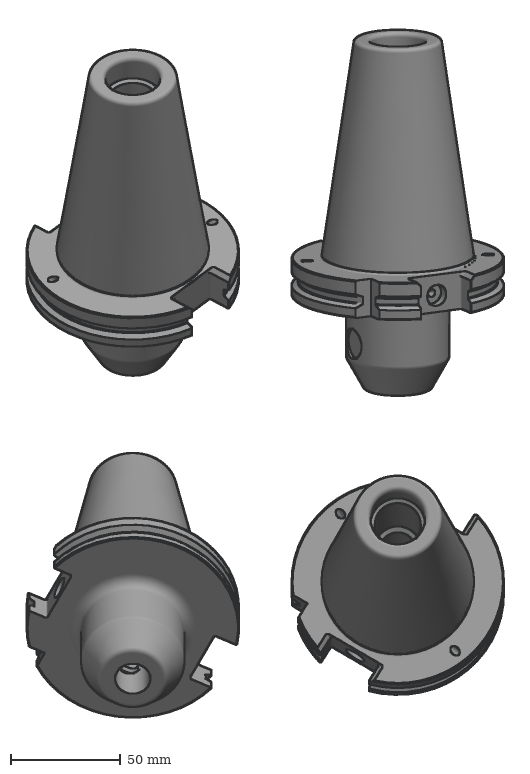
import cadquery as cq
import math


TOTAL_HEIGHT = 164.6
NOSE_RADIUS = 23.7
NOSE_TIP_RADIUS = 15.3
NOSE_CONE_HEIGHT = 15.1
NOSE_TIP_ROUND = 2.5
NOSE_SHOULDER_ROUND = 2.5
NECK_FILLET = 5.1

FLANGE_DIAMETER = 97.3
FLANGE_RADIUS = FLANGE_DIAMETER / 2
FLANGE_BOTTOM = 44.1
FLANGE_TOP = 61.7
FLANGE_EDGE_CHAMFER = 0.5
GROOVE_FLOOR_RADIUS = 45.6
GROOVE_CENTER_Z = 52.0
GROOVE_FLOOR_WIDTH = 3.3
GROOVE_FLOOR_FILLET = 0.5
GROOVE_MOUTH_WIDTH = 6.6

TAPER_LARGE_RADIUS = 34.9
TAPER_BASE_Z = 63.0
TAPER_RATIO = 7 / 24
TAPER_TIP_ROUND = 2.0
UNDERCUT_RADIUS = 34.4
UNDERCUT_FILLET = 1.27

TOOL_BORE_RADIUS = 8.0
PILOT_RADIUS = 12.5
PILOT_DEPTH = 11.5
PILOT_MOUTH_ROUND = 2.1
THREAD_RADIUS = 10.5
THREAD_BOTTOM_Z = 115.2
DRILL_TIP_HALF_ANGLE = 59.0
LEAD_IN_HALF_ANGLE = 60.0

SLOT_WIDTH = 25.7
SLOT_FLOOR_LEFT = 37.5
SLOT_FLOOR_RIGHT = 35.4
SLOT_FLOOR_FILLET = 1.0
SLOT_TOP_CHAMFER = 2.3
SLOT_MOUTH_CHAMFER = 0.5
NOTCH_CORNER = 30.1

CHIP_RADIUS = 5.0
CHIP_DEPTH = 5.0
CHIP_PILOT_RADIUS = 1.8

COOLANT_RADIUS = 1.8
COOLANT_START_RADIUS = 42.0
COOLANT_AZIMUTH = 70.0
COOLANT_SLOPE = 45.0
COOLANT_LENGTH = 19.8

SCREW_Z = 23.9
SCREW_RADIUS = 7.0
SCREW_TIP_Y = 5.8
SCREW_LENGTH = 16.0
SCREW_TIP_CHAMFER = 1.6

MATCH_TOLERANCE = 0.02


def ring(part, z, radius):
    """Select the circular edges about the Z axis at one height and radius."""
    def on_ring(edge):
        return (
            edge.geomType() == "CIRCLE"
            and abs(edge.arcCenter().z - z) < MATCH_TOLERANCE
            and abs(edge.radius() - radius) < MATCH_TOLERANCE
        )
    return part.edges().filter(on_ring)


def revolve_profile(points):
    """Revolve a closed (radius, height) outline about the Z axis."""
    return cq.Workplane("XZ").polyline(points).close().revolve(360, (0, 0, 0), (0, 1, 0))


def turned_blank():
    taper_tip_radius = TAPER_LARGE_RADIUS - (TOTAL_HEIGHT - TAPER_BASE_Z) * TAPER_RATIO / 2
    groove_floor_half = GROOVE_FLOOR_WIDTH / 2
    groove_mouth_half = GROOVE_MOUTH_WIDTH / 2
    blank = revolve_profile([
        (0, 0),
        (NOSE_TIP_RADIUS, 0),
        (NOSE_RADIUS, NOSE_CONE_HEIGHT),
        (NOSE_RADIUS, FLANGE_BOTTOM),
        (FLANGE_RADIUS, FLANGE_BOTTOM),
        (FLANGE_RADIUS, GROOVE_CENTER_Z - groove_mouth_half),
        (GROOVE_FLOOR_RADIUS, GROOVE_CENTER_Z - groove_floor_half),
        (GROOVE_FLOOR_RADIUS, GROOVE_CENTER_Z + groove_floor_half),
        (FLANGE_RADIUS, GROOVE_CENTER_Z + groove_mouth_half),
        (FLANGE_RADIUS, FLANGE_TOP),
        (UNDERCUT_RADIUS, FLANGE_TOP),
        (UNDERCUT_RADIUS, TAPER_BASE_Z),
        (TAPER_LARGE_RADIUS, TAPER_BASE_Z),
        (taper_tip_radius, TOTAL_HEIGHT),
        (0, TOTAL_HEIGHT),
    ])
    blank = ring(blank, 0, NOSE_TIP_RADIUS).fillet(NOSE_TIP_ROUND)
    blank = ring(blank, NOSE_CONE_HEIGHT, NOSE_RADIUS).fillet(NOSE_SHOULDER_ROUND)
    blank = ring(blank, FLANGE_BOTTOM, NOSE_RADIUS).fillet(NECK_FILLET)
    blank = ring(blank, FLANGE_TOP, UNDERCUT_RADIUS).fillet(UNDERCUT_FILLET)
    for side in (-1, 1):
        floor_edge_z = GROOVE_CENTER_Z + side * groove_floor_half
        blank = ring(blank, floor_edge_z, GROOVE_FLOOR_RADIUS).fillet(GROOVE_FLOOR_FILLET)
    for flange_face in (FLANGE_BOTTOM, FLANGE_TOP):
        blank = ring(blank, flange_face, FLANGE_RADIUS).chamfer(FLANGE_EDGE_CHAMFER)
    return ring(blank, TOTAL_HEIGHT, taper_tip_radius).fillet(TAPER_TIP_ROUND)


def cut_central_bore(part):
    drill_tip_height = (THREAD_RADIUS - TOOL_BORE_RADIUS) / math.tan(math.radians(DRILL_TIP_HALF_ANGLE))
    thread_lead_in = (PILOT_RADIUS - THREAD_RADIUS) / math.tan(math.radians(LEAD_IN_HALF_ANGLE))
    pilot_bottom = TOTAL_HEIGHT - PILOT_DEPTH
    bore = revolve_profile([
        (0, 0),
        (TOOL_BORE_RADIUS, 0),
        (TOOL_BORE_RADIUS, THREAD_BOTTOM_Z - drill_tip_height),
        (THREAD_RADIUS, THREAD_BOTTOM_Z),
        (THREAD_RADIUS, pilot_bottom - thread_lead_in),
        (PILOT_RADIUS, pilot_bottom),
        (PILOT_RADIUS, TOTAL_HEIGHT),
        (0, TOTAL_HEIGHT),
    ])
    return ring(part.cut(bore), TOTAL_HEIGHT, PILOT_RADIUS).fillet(PILOT_MOUTH_ROUND)


def drive_slot(floor_distance):
    """Cutter for the +X slot: rounded floor corners, flared mouth, chamfered upper edges."""
    half = SLOT_WIDTH / 2
    mouth_x = math.sqrt(FLANGE_RADIUS ** 2 - half ** 2)
    flare = SLOT_MOUTH_CHAMFER
    flare_end = half + 2 * flare
    groove = (
        cq.Workplane("XY", origin=(0, 0, FLANGE_BOTTOM))
        .moveTo(floor_distance, -half)
        .lineTo(mouth_x - flare, -half)
        .lineTo(mouth_x + flare, -flare_end)
        .lineTo(FLANGE_RADIUS, -flare_end)
        .lineTo(FLANGE_RADIUS, flare_end)
        .lineTo(mouth_x + flare, flare_end)
        .lineTo(mouth_x - flare, half)
        .lineTo(floor_distance, half)
        .close()
        .extrude(FLANGE_TOP - FLANGE_BOTTOM)
        .edges("|Z and <X")
        .fillet(SLOT_FLOOR_FILLET)
    )
    top_chamfers = (
        cq.Workplane("YZ", origin=(floor_distance, 0, 0))
        .moveTo(-half - SLOT_TOP_CHAMFER, FLANGE_TOP)
        .lineTo(half + SLOT_TOP_CHAMFER, FLANGE_TOP)
        .lineTo(half, FLANGE_TOP - SLOT_TOP_CHAMFER)
        .lineTo(-half, FLANGE_TOP - SLOT_TOP_CHAMFER)
        .close()
        .extrude(FLANGE_RADIUS - floor_distance)
        .faces("<X")
        .edges("not |Y")
        .fillet(SLOT_FLOOR_FILLET)
    )
    return groove.union(top_chamfers)


def cut_flange_slots(part):
    right_slot = drive_slot(SLOT_FLOOR_RIGHT)
    left_slot = drive_slot(SLOT_FLOOR_LEFT).rotate((0, 0, 0), (0, 0, 1), 180)
    return part.cut(right_slot).cut(left_slot)


def cut_orientation_notch(part):
    notch = (
        cq.Workplane("XY", origin=(0, 0, FLANGE_BOTTOM))
        .moveTo(-NOTCH_CORNER, NOTCH_CORNER)
        .rect(-FLANGE_RADIUS, FLANGE_RADIUS, centered=False)
        .extrude(FLANGE_TOP - FLANGE_BOTTOM)
    )
    return part.cut(notch)


def cut_chip_pocket(part):
    """Flat pocket whose floor carries the conical point of its pilot drill."""
    pilot_height = CHIP_PILOT_RADIUS / math.tan(math.radians(DRILL_TIP_HALF_ANGLE))
    pocket = revolve_profile([
        (0, 0),
        (CHIP_RADIUS, 0),
        (CHIP_RADIUS, CHIP_DEPTH),
        (CHIP_PILOT_RADIUS, CHIP_DEPTH),
        (0, CHIP_DEPTH + pilot_height),
    ])
    pocket = pocket.rotate((0, 0, 0), (0, 1, 0), 90)
    return part.cut(pocket.translate((-SLOT_FLOOR_LEFT, 0, GROOVE_CENTER_Z)))


def cut_coolant_holes(part):
    """Two opposite blind holes sloping inward from the upper flange face."""
    slope = math.radians(COOLANT_SLOPE)
    inward = cq.Vector(-math.cos(slope), 0, -math.sin(slope))
    entry = cq.Vector(COOLANT_START_RADIUS, 0, FLANGE_TOP)
    lead_in = 2 * COOLANT_RADIUS
    hole = cq.Solid.makeCylinder(COOLANT_RADIUS, COOLANT_LENGTH + lead_in, entry - inward * lead_in, inward)
    for azimuth in (COOLANT_AZIMUTH, COOLANT_AZIMUTH + 180):
        part = part.cut(cq.Workplane(hole.rotate((0, 0, 0), (0, 0, 1), azimuth)))
    return part


def screw_cylinder(length):
    """Cylinder along +Y at the clamping screw, starting at the screw tip."""
    tip = cq.Vector(0, SCREW_TIP_Y, SCREW_Z)
    return cq.Workplane(cq.Solid.makeCylinder(SCREW_RADIUS, length, tip, cq.Vector(0, 1, 0)))


def make_holder():
    holder = cut_central_bore(turned_blank())
    holder = cut_flange_slots(holder)
    holder = cut_orientation_notch(holder)
    holder = cut_chip_pocket(holder)
    holder = cut_coolant_holes(holder)
    return holder.cut(screw_cylinder(NOSE_RADIUS)).solids()


def make_clamping_screw():
    return screw_cylinder(SCREW_LENGTH).faces("<Y").chamfer(SCREW_TIP_CHAMFER).solids()


holder = make_holder()
clamping_screw = make_clamping_screw()

result = cq.Compound.makeCompound([holder.val(), clamping_screw.val()])